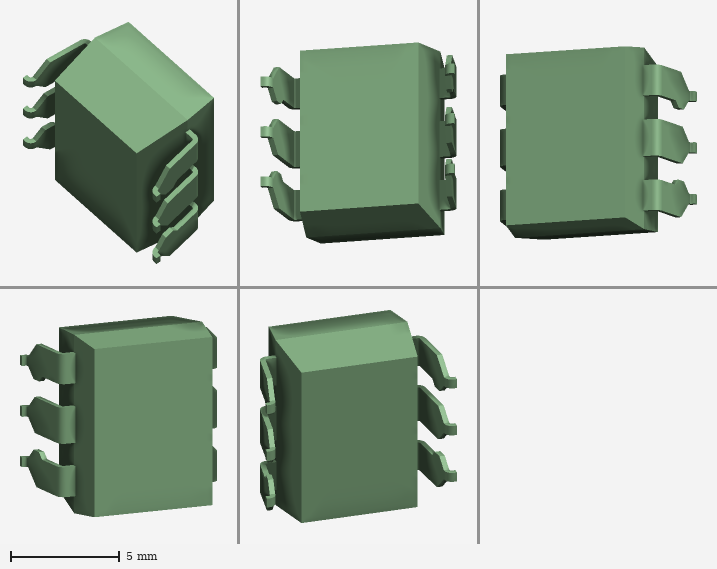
import cadquery as cq
import math


HOUSING_WIDTH = 6.36
HOUSING_HEIGHT = 8.51
COVER_DEPTH = 1.87
BASE_DEPTH = 2.84
DRAFT = 7.5

LEAD_SPAN = 9.16
LEAD_THICKNESS = 0.26
LEAD_INSERTION = 0.26
SHOULDER_X = 3.94
FOOT_BOTTOM = -3.215
LEG_TILT = 7.5
OUTER_BEND_RADIUS = 0.38
INNER_BEND_RADIUS = 0.08

LEAD_PITCH = 2.55
LEAD_WIDTH = 1.72
MIDDLE_FOOT_WIDTH = 0.49
END_FOOT_WIDTH = 0.46
END_FOOT_SHIFT = 0.14
TAPER_END = -2.83
NOTCH_DEPTH = 0.29
NOTCH_END = -1.54

LEAD_TOP = LEAD_THICKNESS / 2
LEAD_BOTTOM = -LEAD_THICKNESS / 2
LEAD_START = HOUSING_WIDTH / 2 - LEAD_INSERTION
FOOT_TOP = FOOT_BOTTOM + LEAD_THICKNESS
FOOT_END = LEAD_SPAN / 2
TILT = math.radians(LEG_TILT)


def make_drafted_block(depth):
    """Block from the parting plane to Y = -depth, narrowing away from the parting plane."""
    return (
        cq.Workplane("XZ")
        .rect(HOUSING_WIDTH, HOUSING_HEIGHT)
        .extrude(depth, taper=DRAFT)
    )


def make_housing():
    """Molded body, widest at the parting plane and drafted towards both faces."""
    base = make_drafted_block(BASE_DEPTH)
    cover = make_drafted_block(COVER_DEPTH).mirror("XZ")
    return base.union(cover)


def make_lead_strip():
    """Full-width bent strip of the +X row, starting inside the housing."""

    def outer_face_x(y):
        return SHOULDER_X + (LEAD_TOP - y) * math.tan(TILT)

    def inner_face_x(y):
        return outer_face_x(y) - LEAD_THICKNESS / math.cos(TILT)

    outer_shoulder = (outer_face_x(LEAD_TOP), LEAD_TOP)
    inner_shoulder = (inner_face_x(LEAD_BOTTOM), LEAD_BOTTOM)
    inner_ankle = (outer_face_x(FOOT_TOP), FOOT_TOP)
    outer_ankle = (inner_face_x(FOOT_BOTTOM), FOOT_BOTTOM)

    strip = (
        cq.Workplane("XY")
        .polyline([
            (LEAD_START, LEAD_TOP),
            outer_shoulder,
            inner_ankle,
            (FOOT_END, FOOT_TOP),
            (FOOT_END, FOOT_BOTTOM),
            outer_ankle,
            inner_shoulder,
            (LEAD_START, LEAD_BOTTOM),
        ])
        .close()
        .extrude(LEAD_WIDTH / 2, both=True)
    )
    bends = (
        (outer_shoulder, OUTER_BEND_RADIUS),
        (inner_shoulder, INNER_BEND_RADIUS),
        (inner_ankle, INNER_BEND_RADIUS),
        (outer_ankle, OUTER_BEND_RADIUS),
    )
    for (x, y), radius in bends:
        strip = strip.edges(cq.selectors.NearestToPointSelector((x, y, 0))).fillet(radius)
    return strip


def cut_to_outline(strip, outline):
    """Keep the part of the strip inside a (Y, Z) outline."""
    prism = cq.Workplane("YZ").polyline(outline).close().extrude(LEAD_SPAN)
    return strip.intersect(prism)


def make_middle_lead():
    """Lead whose leg narrows evenly to the foot at 45 degrees."""
    side = LEAD_WIDTH / 2
    foot_side = MIDDLE_FOOT_WIDTH / 2
    taper_start = TAPER_END + side - foot_side
    outline = [
        (LEAD_TOP, side),
        (taper_start, side),
        (TAPER_END, foot_side),
        (FOOT_BOTTOM, foot_side),
        (FOOT_BOTTOM, -foot_side),
        (TAPER_END, -foot_side),
        (taper_start, -side),
        (LEAD_TOP, -side),
    ]
    return cut_to_outline(make_lead_strip(), outline)


def make_end_lead():
    """Lead of the +Z end: notched on its -Z side, its foot off centre towards -Z."""
    side = LEAD_WIDTH / 2
    notch_side = NOTCH_DEPTH - side
    foot_outer = END_FOOT_WIDTH / 2 - END_FOOT_SHIFT
    foot_inner = -END_FOOT_WIDTH / 2 - END_FOOT_SHIFT
    outline = [
        (LEAD_TOP, side),
        (TAPER_END + side - foot_outer, side),
        (TAPER_END, foot_outer),
        (FOOT_BOTTOM, foot_outer),
        (FOOT_BOTTOM, foot_inner),
        (TAPER_END, foot_inner),
        (TAPER_END + side + foot_inner, -side),
        (NOTCH_END - NOTCH_DEPTH, -side),
        (NOTCH_END, notch_side),
        (LEAD_TOP, notch_side),
    ]
    return cut_to_outline(make_lead_strip(), outline)


top_lead = make_end_lead().translate((0, 0, LEAD_PITCH))
leads = []
for lead in (top_lead, make_middle_lead(), top_lead.mirror("XY")):
    leads.append(lead.val())
    leads.append(lead.mirror("YZ").val())

housing = make_housing()
for lead in leads:
    housing = housing.cut(cq.Workplane(lead))

result = cq.Compound.makeCompound([housing.val(), *leads])